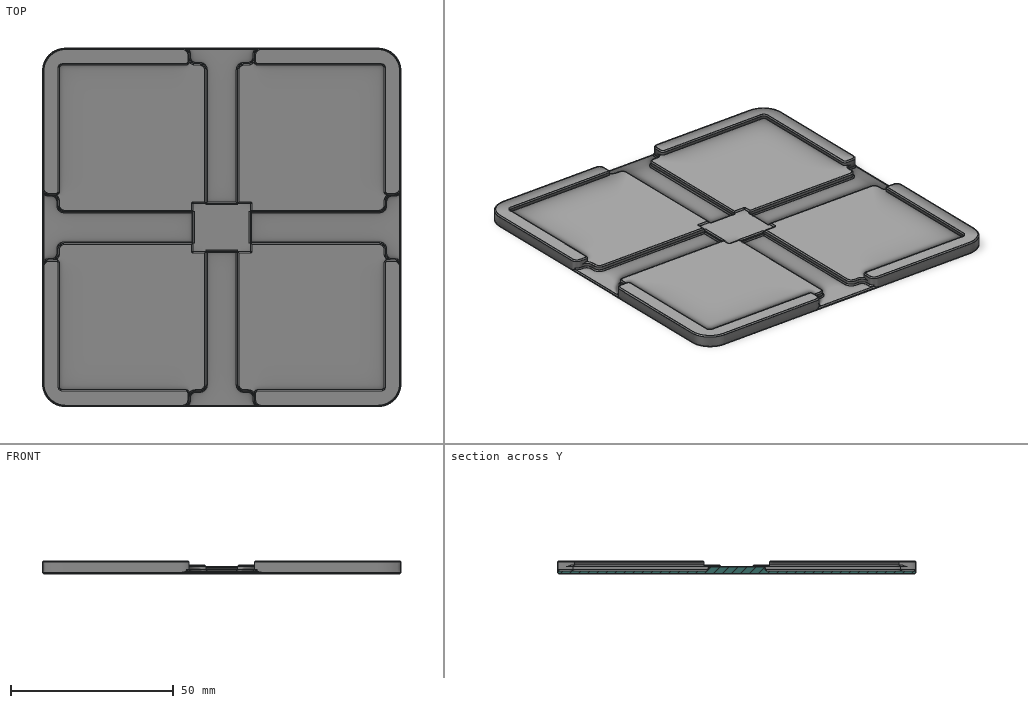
import cadquery as cq

SIZE = 110.2
HEIGHT = 4.0
CORNER_RADIUS = 7.1

EDGE_BREAK = 0.4
FULL_SLOPE = 45

FLOOR_LEVEL = 0.94
BLOCK_LEVEL = 2.2
PAD_LEVEL = 2.6

RIM_WIDTH = 5.2
RIM_START = 10.0
RIM_INNER_RADIUS = 1.0

PAD_START = 4.9

WALL_RADIUS = 2.0

BLOCK_LENGTH = 17.6
BLOCK_WIDTH = 14.8

HALF = SIZE / 2
RIM_INNER = HALF - RIM_WIDTH
PAD_END = RIM_INNER + EDGE_BREAK


def upright_at(x, y, level):
    """Selector for the upright edge through x, y of a prism that rises from 0 to level."""
    return cq.NearestToPointSelector((x, y, level / 2))


def round_uprights(prism, points, level, radius):
    for x, y in points:
        prism = prism.edges(upright_at(x, y, level)).fillet(radius)
    return prism


def make_base():
    """Square plate whose top is the floor of the channels."""
    return (
        cq.Workplane("XY")
        .rect(SIZE, SIZE)
        .extrude(FLOOR_LEVEL)
        .edges("|Z")
        .fillet(CORNER_RADIUS)
        .faces("<Z or >Z")
        .edges()
        .chamfer(EDGE_BREAK)
    )


def make_rim():
    """L-shaped rim of the +X +Y corner."""
    rim = (
        cq.Workplane("XY")
        .moveTo(RIM_START, HALF)
        .lineTo(HALF, HALF)
        .lineTo(HALF, RIM_START)
        .lineTo(RIM_INNER, RIM_START)
        .lineTo(RIM_INNER, RIM_INNER)
        .lineTo(RIM_START, RIM_INNER)
        .close()
        .extrude(HEIGHT)
    )
    outer_ends = [(RIM_START, HALF), (HALF, RIM_START)]
    inner_ends = [(RIM_START, RIM_INNER), (RIM_INNER, RIM_START)]
    rim = round_uprights(rim, [(HALF, HALF)], HEIGHT, CORNER_RADIUS)
    rim = round_uprights(rim, outer_ends, HEIGHT, WALL_RADIUS)
    rim = round_uprights(rim, inner_ends + [(RIM_INNER, RIM_INNER)], HEIGHT, RIM_INNER_RADIUS)
    return rim.faces("<Z or >Z").edges().chamfer(EDGE_BREAK)


def make_tier():
    """Prism under the pad and rim of the +X +Y corner, from the underside to the pad level."""
    tier = (
        cq.Workplane("XY")
        .moveTo(PAD_START, PAD_START)
        .lineTo(PAD_START, PAD_END)
        .lineTo(RIM_START, PAD_END)
        .lineTo(RIM_START, HALF)
        .lineTo(HALF, HALF)
        .lineTo(HALF, RIM_START)
        .lineTo(PAD_END, RIM_START)
        .lineTo(PAD_END, PAD_START)
        .close()
        .extrude(PAD_LEVEL)
    )
    pad_corners = [(PAD_START, PAD_END), (PAD_END, PAD_START)]
    pad_to_rim = [(RIM_START, PAD_END), (PAD_END, RIM_START)]
    rim_ends = [(RIM_START, HALF), (HALF, RIM_START)]
    tier = round_uprights(tier, pad_corners + pad_to_rim + rim_ends, PAD_LEVEL, WALL_RADIUS)
    return round_uprights(tier, [(HALF, HALF)], PAD_LEVEL, CORNER_RADIUS)


def make_foot(prism):
    """Sloped foot around the walls of a prism, kept inside the chamfered edge of the floor."""
    inside = SIZE - 2 * EDGE_BREAK
    limit = (
        cq.Workplane("XY")
        .rect(inside, inside)
        .extrude(HEIGHT)
        .edges("|Z")
        .fillet(CORNER_RADIUS - EDGE_BREAK)
    )
    outline = prism.faces("<Z").wires().val().translate((0, 0, FLOOR_LEVEL))
    foot = (
        cq.Workplane("XY", origin=(0, 0, FLOOR_LEVEL))
        .add(outline)
        .toPending()
        .offset2D(EDGE_BREAK, "intersection")
        .extrude(EDGE_BREAK, taper=FULL_SLOPE)
    )
    return foot.intersect(limit)


def make_corner():
    """Rim, pad and sloped foot of the +X +Y corner, with the recess for the central block."""
    tier = make_tier()
    foot = make_foot(tier)
    recess = (
        cq.Workplane("XY", origin=(0, 0, BLOCK_LEVEL))
        .rect(BLOCK_LENGTH, BLOCK_WIDTH)
        .extrude(PAD_LEVEL - BLOCK_LEVEL, taper=-FULL_SLOPE)
    )
    pad = tier.faces("<Z or >Z").edges().chamfer(EDGE_BREAK).cut(recess)
    return make_rim().union(pad).union(foot)


def make_block():
    """Central block with chamfered top edges and sloped feet in the channels."""
    block = cq.Workplane("XY").rect(BLOCK_LENGTH, BLOCK_WIDTH).extrude(BLOCK_LEVEL)
    foot = make_foot(block)
    return block.faces(">Z").edges().chamfer(EDGE_BREAK).union(foot)


corner = make_corner()
half = corner.union(corner.mirror("YZ"))
result = make_base().union(make_block()).union(half).union(half.mirror("XZ"))